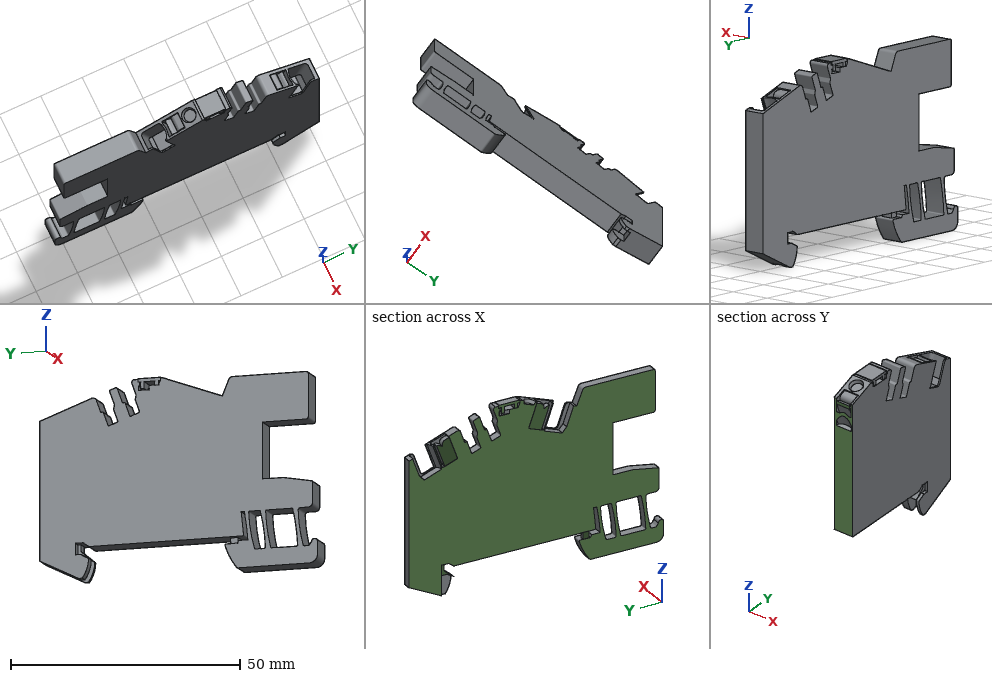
import cadquery as cq
import math

WIDTH = 5.1
BACK_Y = 31.9
TOE_Y = -31.9
RIDGE_Z = 43.7
BODY_FLOOR_Z = 7.1
SLOPE_ANGLE = 20.0
SLOPE_TAN = math.tan(math.radians(SLOPE_ANGLE))

BACK_SLOPE_Z = 35.85
FRONT_SLOPE_Y = -10.0
FRONT_SLOPE_Z = 38.7
BACK_RIDGE_Y = BACK_Y - (RIDGE_Z - BACK_SLOPE_Z) / SLOPE_TAN
FRONT_RIDGE_Y = FRONT_SLOPE_Y + (RIDGE_Z - FRONT_SLOPE_Z) / SLOPE_TAN
BACK_FUNNEL_Y = 30.9
FRONT_FUNNEL_Y = -9.25

BLOCK_Y = -29.8
BLOCK_TOP_Z = 42.85
BLOCK_BOTTOM_Z = 32.2
BLOCK_REAR_Y = -11.75
THROAT_Y = -19.2
SHELF_Z = 19.5
SHELF_BEND_Y = -24.05
SHELF_Y = -30.75
SHELF_TIP_Z = 18.3
SHELF_BOTTOM_Z = 12.5

OUTER_LEG_TOP_Y = -27.4
OUTER_LEG_MIDDLE = (-27.75, 8.2)
OUTER_LEG_FOOT_Y = -28.65
VALLEY_END_Y = -29.9
INNER_LEG_TOP_Y = -15.05
INNER_LEG_MIDDLE = (-15.55, 9.3)
INNER_LEG_FOOT_Y = -15.9
GAP_TOP_Y = -14.35
GAP_FOOT_Y = -14.9
FOOT_WINDOW_Z = 3.95
FOOT_LEDGE_Z = 5.55
FOOT_STEP_Z = 6.1
TOE_TOP_Z = 5.4
TOE_RADIUS = 0.7
TOE_INNER_Y = TOE_Y + 2 * TOE_RADIUS
FOOT_CORNER_RADIUS = 1.9
FOOT_REAR_Y = -10.5
FOOT_REAR_MIDDLE = (-11.7, 2.6)
FOOT_HEEL_Y = -13.4
LEDGE_END_Y = -13.45
STEP_START_Y = -13.8
WINDOW_TOPS = ((-16.1, -18.7), (-19.95, -26.15))
WINDOW_FEET = ((-17.5, -19.9), (-21.2, -27.3))
WINDOW_REAR_MIDDLES = ((-16.6, 7.65), (-20.4, 7.65))
WINDOW_FRONT_MIDDLES = ((-19.5, 8.3), (-26.9, 8.3))
WINDOW_ROUNDING = 0.25

HOOK_NOTCH_Y = 23.7
HOOK_NOTCH_TOP_Z = 8.05
HOOK_LEDGE_Z = 5.5
HOOK_LEDGE_END_Y = 22.45
HOOK_BOTTOM_Z = 0.1
HOOK_BOTTOM_FRONT_Y = 22.1
HOOK_BOTTOM_REAR_Y = 22.95
NOSE_Y = 20.65
NOSE_Z = 4.5
NOSE_MIDDLE = (21.0, 2.4)
NOTCH_RAMP_TOP_Y = 21.95
BACK_BOTTOM_Z = 4.6
LINER_Y = 23.0
LINER_BEND_TOP_Z = 6.95
LINER_BEND_MIDDLE = (22.95, 6.5)
LINER_BEND_END = (22.7, 6.25)
HOOK_GAP_START = 1.9
HOOK_GAP_END = 4.35

SLOT_STARTS = (13.5, 18.8)
SLOT_WIDTH = 3.45
SLOT_SHOULDER = 0.54
REAR_SHOULDER_TOP = 3.75
REAR_SHOULDER_BOTTOM = 4.0
FRONT_SHOULDER_TOP = 3.5
FRONT_SHOULDER_BOTTOM = 4.35
SLOT_DEPTH = 7.4
SLOT_ROUNDING = 0.2
SLOT_OPENING = 1.9

FUNNEL_X = 0.75
FUNNEL_WIDTH = 3.95
FUNNEL_SIDE_LENGTH = 4.7
FUNNEL_LENGTH = 5.3
FUNNEL_DEPTH = 6.6
FUNNEL_RAMP = 0.65
FUNNEL_RAMP_HEIGHT = 1.5
FUNNEL_CORNER_RADIUS = 0.8
FUNNEL_WALL = 0.4
SCOOP_START = 1.0
SCOOP_END = 4.4
SCOOP_DEPTH = 6.4
SCOOP_RADIUS = 0.75

POCKET_START = 5.5
POCKET_LENGTH = 4.0
POCKET_WIDTH = 3.8
POCKET_DEPTH = 6.4
BUTTON_START = 6.1
BUTTON_WIDTH = 3.6
BUTTON_RECESS = 0.3
LIP_RECESS = 0.5
LIP_MIDDLE = (6.6, -0.65)
LIP_END = (6.95, -1.0)
GROOVE_BOTTOM = (7.35, -1.4)
GROOVE_MIDDLE = (7.65, -0.65)
PAD_START = 8.2

TEST_HOLE_Y = 1.6
TEST_HOLE_DIAMETER = 3.3
TEST_HOLE_DEPTH = 0.8
TEST_HOLE_TAPER = 20.0

MARKER_TOP_Z = 43.9
MARKER_THICKNESS = 0.75
MARKER_BACK_Y = 9.4
MARKER_LENGTH = 5.15
MARKER_MARGIN = 0.2
SEAT_FLOOR_Z = 42.15
SEAT_BACK_Y = 9.0
SEAT_FRONT_Y = 4.6
LATCH_X = 3.2
LATCH_Z = 41.2
LATCH_BACK_Y = 9.25
LATCH_FRONT_Y = 6.75
BACK_LEG_Y = 8.0
BACK_LEG_Z = 41.6
FRONT_LEG_Y = 4.7
LEG_LENGTH = 0.8

BLOCK_REAR_RADIUS = 0.95
BLOCK_RADIUS = 0.6
SHELF_BOTTOM_RADIUS = 1.0
LEG_TOP_RADIUS = 0.6
HEEL_RADIUS = 0.65
SMALL_RADIUS = 0.3
SLOPE_TOP_RADIUS = 0.8
RIDGE_RADIUS = 0.65

CONTACT_X = 1.3
CONTACT_WIDTH = 2.55
CONTACT_BACK_Y = -11.55
CONTACT_FRONT_Y = -13.2


def slab(profile, x_start, x_end):
    """Extrude a YZ profile, drawn on a "YZ" workplane, between two X positions."""
    return profile.extrude(x_end - x_start).translate((x_start, 0, 0))


def round_edges(body, radius, *corners):
    """Round the edges that run along X at the given (y, z) corners."""
    for y, z in corners:
        edge = cq.selectors.NearestToPointSelector((WIDTH / 2, y, z))
        body = body.edges("|X").edges(edge).fillet(radius)
    return body


def on_front_slope(shape):
    """Place a shape drawn with Y up the slope and Z out of it at the front funnel edge."""
    z = FRONT_SLOPE_Z + (FRONT_FUNNEL_Y - FRONT_SLOPE_Y) * SLOPE_TAN
    return shape.rotate((0, 0, 0), (1, 0, 0), SLOPE_ANGLE).translate((0, FRONT_FUNNEL_Y, z))


def on_back_slope(shape):
    """Place the mirrored shape at the back funnel edge."""
    z = BACK_SLOPE_Z + (BACK_Y - BACK_FUNNEL_Y) * SLOPE_TAN
    mirrored = shape.mirror("XZ")
    return mirrored.rotate((0, 0, 0), (1, 0, 0), -SLOPE_ANGLE).translate((0, BACK_FUNNEL_Y, z))


def point_on_back_slope(distance):
    """(y, z) of the point at a distance up the back slope from the back face."""
    angle = math.radians(SLOPE_ANGLE)
    return BACK_Y - distance * math.cos(angle), BACK_SLOPE_Z + distance * math.sin(angle)


def make_side_profile():
    """Outline of the housing, from the top of the back face round to the rail hook."""
    return (
        cq.Workplane("YZ")
        .moveTo(BACK_Y, BACK_SLOPE_Z)
        .lineTo(BACK_RIDGE_Y, RIDGE_Z)
        .lineTo(FRONT_RIDGE_Y, RIDGE_Z)
        .lineTo(FRONT_SLOPE_Y, FRONT_SLOPE_Z)
        .lineTo(BLOCK_REAR_Y, BLOCK_TOP_Z)
        .lineTo(BLOCK_Y, BLOCK_TOP_Z)
        .lineTo(BLOCK_Y, BLOCK_BOTTOM_Z)
        .lineTo(THROAT_Y, BLOCK_BOTTOM_Z)
        .lineTo(THROAT_Y, SHELF_Z)
        .lineTo(SHELF_BEND_Y, SHELF_Z)
        .lineTo(SHELF_Y, SHELF_TIP_Z)
        .lineTo(SHELF_Y, SHELF_BOTTOM_Z)
        .lineTo(OUTER_LEG_TOP_Y, SHELF_BOTTOM_Z)
        .threePointArc(OUTER_LEG_MIDDLE, (OUTER_LEG_FOOT_Y, FOOT_WINDOW_Z))
        .lineTo(VALLEY_END_Y, FOOT_WINDOW_Z)
        .lineTo(TOE_INNER_Y, TOE_TOP_Z - TOE_RADIUS)
        .threePointArc((TOE_Y + TOE_RADIUS, TOE_TOP_Z), (TOE_Y, TOE_TOP_Z - TOE_RADIUS))
        .lineTo(TOE_Y, 0)
        .lineTo(FOOT_HEEL_Y, 0)
        .threePointArc(FOOT_REAR_MIDDLE, (FOOT_REAR_Y, FOOT_LEDGE_Z))
        .lineTo(LEDGE_END_Y, FOOT_LEDGE_Z)
        .lineTo(STEP_START_Y, FOOT_STEP_Z)
        .lineTo(INNER_LEG_FOOT_Y, FOOT_STEP_Z)
        .threePointArc(INNER_LEG_MIDDLE, (INNER_LEG_TOP_Y, SHELF_BOTTOM_Z))
        .lineTo(GAP_TOP_Y, SHELF_BOTTOM_Z)
        .lineTo(GAP_FOOT_Y, BODY_FLOOR_Z)
        .lineTo(NOSE_Y, BODY_FLOOR_Z)
        .lineTo(NOTCH_RAMP_TOP_Y, HOOK_NOTCH_TOP_Z)
        .lineTo(HOOK_NOTCH_Y, HOOK_NOTCH_TOP_Z)
        .lineTo(HOOK_NOTCH_Y, HOOK_LEDGE_Z)
        .lineTo(HOOK_LEDGE_END_Y, HOOK_LEDGE_Z)
        .lineTo(NOSE_Y, NOSE_Z)
        .threePointArc(NOSE_MIDDLE, (HOOK_BOTTOM_FRONT_Y, HOOK_BOTTOM_Z))
        .lineTo(HOOK_BOTTOM_REAR_Y, HOOK_BOTTOM_Z)
        .lineTo(BACK_Y, BACK_BOTTOM_Z)
        .close()
    )


def make_foot_windows():
    """Two openings between the curved legs of the foot."""
    windows = []
    shapes = zip(WINDOW_TOPS, WINDOW_FEET, WINDOW_REAR_MIDDLES, WINDOW_FRONT_MIDDLES)
    for top, foot, rear_middle, front_middle in shapes:
        profile = (
            cq.Workplane("YZ")
            .moveTo(top[0], SHELF_BOTTOM_Z)
            .lineTo(top[1], SHELF_BOTTOM_Z)
            .threePointArc(front_middle, (foot[1], FOOT_WINDOW_Z))
            .lineTo(foot[0], FOOT_WINDOW_Z)
            .threePointArc(rear_middle, (top[0], SHELF_BOTTOM_Z))
            .close()
        )
        windows.append(slab(profile, 0, WIDTH).edges("|X").fillet(WINDOW_ROUNDING))
    return windows


def make_cross_slot(start):
    """Shouldered slot square to the back slope, starting at a distance up the slope."""
    left = start + SLOT_SHOULDER
    right = start + SLOT_WIDTH - SLOT_SHOULDER
    profile = (
        cq.Workplane("YZ")
        .moveTo(-start, SLOT_OPENING)
        .lineTo(-start, -REAR_SHOULDER_TOP)
        .lineTo(-left, -REAR_SHOULDER_BOTTOM)
        .lineTo(-left, -SLOT_DEPTH)
        .lineTo(-right, -SLOT_DEPTH)
        .lineTo(-right, -FRONT_SHOULDER_BOTTOM)
        .lineTo(-right - SLOT_SHOULDER, -FRONT_SHOULDER_TOP)
        .lineTo(-right - SLOT_SHOULDER, SLOT_OPENING)
        .close()
    )
    slot = slab(profile, 0, WIDTH).edges("|X").fillet(SLOT_ROUNDING)
    return slot.rotate((0, 0, 0), (1, 0, 0), -SLOPE_ANGLE).translate((0, BACK_Y, BACK_SLOPE_Z))


def make_funnel():
    """Wire entry with an arched inner end, a ramped floor and a scoop through the +X wall."""
    right = FUNNEL_X + FUNNEL_WIDTH
    middle = FUNNEL_X + FUNNEL_WIDTH / 2
    well = (
        cq.Workplane("XY")
        .moveTo(FUNNEL_X, 0)
        .lineTo(right, 0)
        .lineTo(right, FUNNEL_SIDE_LENGTH)
        .threePointArc((middle, FUNNEL_LENGTH), (FUNNEL_X, FUNNEL_SIDE_LENGTH))
        .close()
        .extrude(-FUNNEL_DEPTH)
    )
    well = well.edges("|Z").edges("<X and <Y").fillet(FUNNEL_CORNER_RADIUS)
    ramp = (
        cq.Workplane("YZ")
        .moveTo(0, -FUNNEL_DEPTH)
        .lineTo(FUNNEL_RAMP, -FUNNEL_DEPTH)
        .lineTo(0, FUNNEL_RAMP_HEIGHT - FUNNEL_DEPTH)
        .close()
    )
    well = well.cut(slab(ramp, 0, WIDTH))
    bend = SCOOP_RADIUS * (1 - math.sqrt(0.5))
    scoop = (
        cq.Workplane("YZ")
        .moveTo(SCOOP_START - SCOOP_RADIUS, 0)
        .threePointArc((SCOOP_START - bend, -bend), (SCOOP_START, -SCOOP_RADIUS))
        .lineTo(SCOOP_START, SCOOP_RADIUS - SCOOP_DEPTH)
        .threePointArc(
            (SCOOP_START + bend, bend - SCOOP_DEPTH), (SCOOP_START + SCOOP_RADIUS, -SCOOP_DEPTH)
        )
        .lineTo(SCOOP_END, -SCOOP_DEPTH)
        .lineTo(SCOOP_END, 0)
        .close()
    )
    return well.union(slab(scoop, right, WIDTH))


def make_button_pocket():
    """Rectangular pocket that leaves a thin arched wall beside the funnel."""
    pocket = (
        cq.Workplane("XY")
        .box(POCKET_WIDTH, POCKET_LENGTH, POCKET_DEPTH, centered=False)
        .translate((FUNNEL_X, POCKET_START, -POCKET_DEPTH))
    )
    rise = FUNNEL_LENGTH - FUNNEL_SIDE_LENGTH
    arch_radius = ((FUNNEL_WIDTH / 2) ** 2 + rise**2) / (2 * rise)
    arch_wall = (
        cq.Workplane("XY")
        .center(FUNNEL_X + FUNNEL_WIDTH / 2, FUNNEL_LENGTH - arch_radius)
        .circle(arch_radius + FUNNEL_WALL)
        .extrude(-POCKET_DEPTH)
    )
    return pocket.cut(arch_wall)


def make_test_hole():
    """Blind tapered hole square to the front slope."""
    distance = (TEST_HOLE_Y - FRONT_FUNNEL_Y) / math.cos(math.radians(SLOPE_ANGLE))
    return (
        cq.Workplane("XY")
        .center(WIDTH / 2, distance)
        .circle(TEST_HOLE_DIAMETER / 2)
        .extrude(-TEST_HOLE_DEPTH, taper=TEST_HOLE_TAPER)
    )


def make_marker_seat():
    """Cross channel for the marker plate, with a latch recess below its back leg."""
    plate_z = MARKER_TOP_Z - MARKER_THICKNESS
    front_y = MARKER_BACK_Y - MARKER_LENGTH
    channel = (
        cq.Workplane("YZ")
        .moveTo(MARKER_BACK_Y, RIDGE_Z)
        .lineTo(MARKER_BACK_Y, plate_z)
        .lineTo(SEAT_BACK_Y, plate_z)
        .lineTo(SEAT_BACK_Y, SEAT_FLOOR_Z)
        .lineTo(SEAT_FRONT_Y, SEAT_FLOOR_Z)
        .lineTo(front_y, plate_z)
        .lineTo(front_y, RIDGE_Z)
        .close()
    )
    recess = (
        cq.Workplane("XY")
        .box(LATCH_X, LATCH_BACK_Y - LATCH_FRONT_Y, SEAT_FLOOR_Z - LATCH_Z, centered=False)
        .translate((0, LATCH_FRONT_Y, LATCH_Z))
    )
    return slab(channel, 0, WIDTH).union(recess)


def hook_liner_profile():
    """Profile of the piece that lines the notch of the rail hook."""
    return (
        cq.Workplane("YZ")
        .moveTo(HOOK_NOTCH_Y, HOOK_NOTCH_TOP_Z)
        .lineTo(LINER_Y, HOOK_NOTCH_TOP_Z)
        .lineTo(LINER_Y, LINER_BEND_TOP_Z)
        .threePointArc(LINER_BEND_MIDDLE, LINER_BEND_END)
        .lineTo(NOSE_Y, NOSE_Z)
        .lineTo(HOOK_LEDGE_END_Y, HOOK_LEDGE_Z)
        .lineTo(HOOK_NOTCH_Y, HOOK_LEDGE_Z)
        .close()
    )


def make_hook_gap():
    """Gap that splits the nose of the rail hook into two prongs."""
    gap_width = HOOK_GAP_END - HOOK_GAP_START
    return (
        cq.Workplane("XY")
        .box(gap_width, HOOK_NOTCH_Y - NOSE_Y, HOOK_LEDGE_Z, centered=False)
        .translate((HOOK_GAP_START, NOSE_Y, 0))
    )


def make_housing():
    body = slab(make_side_profile(), 0, WIDTH)
    body = round_edges(body, BLOCK_REAR_RADIUS, (BLOCK_REAR_Y, BLOCK_TOP_Z))
    body = round_edges(body, BLOCK_RADIUS, (BLOCK_Y, BLOCK_TOP_Z), (BLOCK_Y, BLOCK_BOTTOM_Z))
    body = round_edges(body, SMALL_RADIUS, (SHELF_Y, SHELF_TIP_Z), (NOSE_Y, NOSE_Z))
    body = round_edges(body, LEG_TOP_RADIUS, (OUTER_LEG_TOP_Y, SHELF_BOTTOM_Z))
    body = round_edges(body, SHELF_BOTTOM_RADIUS, (SHELF_Y, SHELF_BOTTOM_Z))
    body = round_edges(body, FOOT_CORNER_RADIUS, (TOE_Y, 0))
    body = round_edges(body, SMALL_RADIUS, (OUTER_LEG_FOOT_Y, FOOT_WINDOW_Z))
    body = round_edges(body, SMALL_RADIUS, (VALLEY_END_Y, FOOT_WINDOW_Z))
    body = round_edges(body, SMALL_RADIUS, (FOOT_REAR_Y, FOOT_LEDGE_Z), (GAP_FOOT_Y, BODY_FLOOR_Z))
    body = round_edges(body, HEEL_RADIUS, (FOOT_HEEL_Y, 0))
    for start in SLOT_STARTS:
        body = body.cut(make_cross_slot(start))
    body = round_edges(body, SLOPE_TOP_RADIUS, point_on_back_slope(SLOT_STARTS[0]))
    body = round_edges(body, SMALL_RADIUS, point_on_back_slope(SLOT_STARTS[0] + SLOT_WIDTH))
    body = round_edges(body, SMALL_RADIUS, point_on_back_slope(SLOT_STARTS[1]))
    body = round_edges(body, RIDGE_RADIUS, point_on_back_slope(SLOT_STARTS[1] + SLOT_WIDTH))
    for window in make_foot_windows():
        body = body.cut(window)
    for cutter in (make_funnel(), make_button_pocket()):
        body = body.cut(on_front_slope(cutter))
        body = body.cut(on_back_slope(cutter))
    body = body.cut(on_front_slope(make_test_hole()))
    body = body.cut(make_marker_seat())
    return body.cut(make_hook_gap())


def make_button():
    """Push button with a rounded lip, a groove across it and a flat pad."""
    end = POCKET_START + POCKET_LENGTH
    profile = (
        cq.Workplane("YZ")
        .moveTo(BUTTON_START, -POCKET_DEPTH)
        .lineTo(BUTTON_START, -LIP_RECESS)
        .threePointArc(LIP_MIDDLE, LIP_END)
        .lineTo(*GROOVE_BOTTOM)
        .threePointArc(GROOVE_MIDDLE, (PAD_START, -BUTTON_RECESS))
        .lineTo(end, -BUTTON_RECESS)
        .lineTo(end, -POCKET_DEPTH)
        .close()
    )
    return slab(profile, FUNNEL_X, FUNNEL_X + BUTTON_WIDTH)


def make_marker():
    """Flat plate with a long back leg and a short front leg."""
    width = WIDTH - 2 * MARKER_MARGIN
    plate_z = MARKER_TOP_Z - MARKER_THICKNESS
    plate = cq.Workplane("XY").box(width, MARKER_LENGTH, MARKER_THICKNESS, centered=False)
    marker = plate.translate((MARKER_MARGIN, MARKER_BACK_Y - MARKER_LENGTH, plate_z))
    for leg_y in (BACK_LEG_Y, FRONT_LEG_Y):
        leg = cq.Workplane("XY").box(width, LEG_LENGTH, plate_z - SEAT_FLOOR_Z, centered=False)
        marker = marker.union(leg.translate((MARKER_MARGIN, leg_y, SEAT_FLOOR_Z)))
    latch = cq.Workplane("XY").box(
        LATCH_X - MARKER_MARGIN, LEG_LENGTH, SEAT_FLOOR_Z - BACK_LEG_Z, centered=False
    )
    return marker.union(latch.translate((MARKER_MARGIN, BACK_LEG_Y, BACK_LEG_Z)))


def make_hook_liner():
    """Strip lining the hook notch above the gap between its prongs."""
    return slab(hook_liner_profile(), HOOK_GAP_START, HOOK_GAP_END)


def make_foot_contact():
    """Block between the body underside and the ledge of the foot."""
    return (
        cq.Workplane("XY")
        .box(
            CONTACT_WIDTH,
            CONTACT_BACK_Y - CONTACT_FRONT_Y,
            BODY_FLOOR_Z - FOOT_LEDGE_Z,
            centered=False,
        )
        .translate((CONTACT_X, CONTACT_FRONT_Y, FOOT_LEDGE_Z))
    )


housing = make_housing()
buttons = [place(make_button()) for place in (on_front_slope, on_back_slope)]
marker = make_marker()
hook_liner = make_hook_liner()
foot_contact = make_foot_contact()

result = cq.Compound.makeCompound(
    [
        housing.val(),
        *[button.val() for button in buttons],
        marker.val(),
        hook_liner.val(),
        foot_contact.val(),
    ]
)